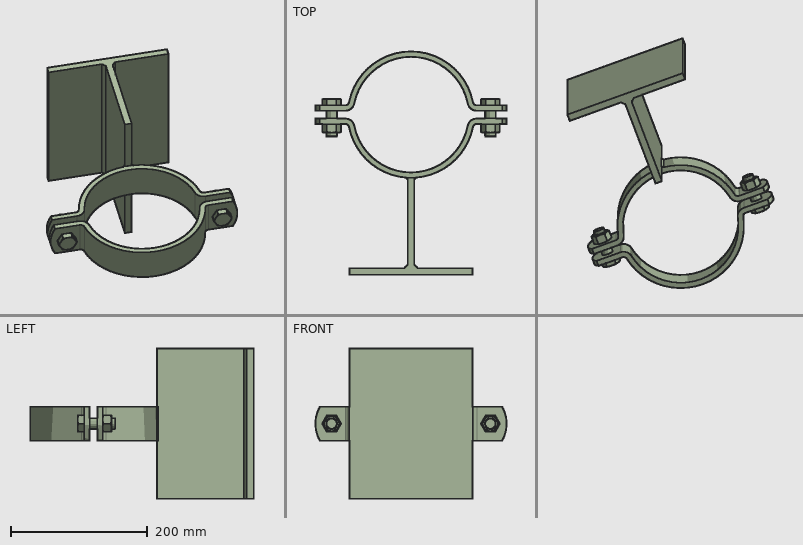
import cadquery as cq
import math

RING_OUTER_RADIUS = 92.5
BAND_THICKNESS = 8.2
BAND_WIDTH = 50.0
FLANGE_GAP = 11.0
FLANGE_REACH = 140.0
FLANGE_TIP_RADIUS = BAND_WIDTH
BEND_RADIUS = 5.5

STAND_HEIGHT = 220.0
OVERALL_DEPTH = 327
BASE_WIDTH = 180
BASE_THICKNESS = 10.0
WEB_THICKNESS = 10.0
BASE_WELD_LEG = 5.0
RING_WELD_LEG = 2.5

BOLT_SPACING = 232.2
BOLT_DIAMETER = 16.0
BOLT_END_DIAMETER = 15.0
BOLT_END_CHAMFER = 2.0
BOLT_OVERHANG = 5.2
HEX_ACROSS_FLATS = 24.0
HEAD_HEIGHT = 9.0
NUT_HEIGHT = 13
HEAD_FACE_DIAMETER = 25.0
NUT_OUTER_FACE_DIAMETER = 22.0
NUT_SEAT_DIAMETER = 25.0
HEX_CHAMFER_ANGLE = 30

HEX_ACROSS_CORNERS = HEX_ACROSS_FLATS / math.cos(math.radians(30))
RING_INNER_RADIUS = RING_OUTER_RADIUS - BAND_THICKNESS
RING_MID_RADIUS = RING_OUTER_RADIUS - BAND_THICKNESS / 2
FLANGE_INNER_Y = FLANGE_GAP / 2
FLANGE_OUTER_Y = FLANGE_INNER_Y + BAND_THICKNESS
BASE_Y = RING_OUTER_RADIUS - OVERALL_DEPTH


def extrude_centred(outline, height):
    """Extrude an XY outline along Z, equally to both sides of Z = 0."""
    return outline.extrude(height / 2, both=True)


def band_half():
    """Half of the band on the +Y side: half ring, two bends and two flanges."""
    bend_y = FLANGE_OUTER_Y + BEND_RADIUS
    centre_distance = RING_OUTER_RADIUS + BEND_RADIUS
    bend_x = math.sqrt(centre_distance**2 - bend_y**2)
    ring_angle = math.atan2(bend_y, bend_x)
    bend_mid_angle = (ring_angle + math.pi / 2) / 2

    def ring_end(radius, side):
        return (side * radius * math.cos(ring_angle), radius * math.sin(ring_angle))

    def bend_middle(radius, side):
        x = bend_x - radius * math.cos(bend_mid_angle)
        y = bend_y - radius * math.sin(bend_mid_angle)
        return (side * x, y)

    outer_bend_radius = BEND_RADIUS + BAND_THICKNESS
    outline = (
        cq.Workplane("XY")
        .moveTo(-FLANGE_REACH, FLANGE_OUTER_Y)
        .lineTo(-bend_x, FLANGE_OUTER_Y)
        .threePointArc(bend_middle(BEND_RADIUS, -1), ring_end(RING_OUTER_RADIUS, -1))
        .threePointArc((0, RING_OUTER_RADIUS), ring_end(RING_OUTER_RADIUS, 1))
        .threePointArc(bend_middle(BEND_RADIUS, 1), (bend_x, FLANGE_OUTER_Y))
        .lineTo(FLANGE_REACH, FLANGE_OUTER_Y)
        .lineTo(FLANGE_REACH, FLANGE_INNER_Y)
        .lineTo(bend_x, FLANGE_INNER_Y)
        .threePointArc(bend_middle(outer_bend_radius, 1), ring_end(RING_INNER_RADIUS, 1))
        .threePointArc((0, RING_INNER_RADIUS), ring_end(RING_INNER_RADIUS, -1))
        .threePointArc(bend_middle(outer_bend_radius, -1), (-bend_x, FLANGE_INNER_Y))
        .lineTo(-FLANGE_REACH, FLANGE_INNER_Y)
        .close()
    )
    return extrude_centred(outline, BAND_WIDTH).intersect(flange_tip_envelope())


def flange_tip_envelope():
    """Block along Y whose ends in X are the rounded flange tips."""
    half_width = BAND_WIDTH / 2
    tip_sagitta = FLANGE_TIP_RADIUS - math.sqrt(FLANGE_TIP_RADIUS**2 - half_width**2)
    corner_x = FLANGE_REACH - tip_sagitta
    return (
        cq.Workplane("XZ")
        .moveTo(-corner_x, -half_width)
        .lineTo(corner_x, -half_width)
        .threePointArc((FLANGE_REACH, 0), (corner_x, half_width))
        .lineTo(-corner_x, half_width)
        .threePointArc((-FLANGE_REACH, 0), (-corner_x, -half_width))
        .close()
        .extrude(RING_OUTER_RADIUS, both=True)
    )


def stand():
    """T section along Z: base plate, web and the two weld beads between them."""
    base_top = BASE_Y + BASE_THICKNESS
    half_base = BASE_WIDTH / 2
    half_web = WEB_THICKNESS / 2
    weld_foot = half_web + BASE_WELD_LEG
    outline = cq.Workplane("XY").polyline([
        (-half_base, BASE_Y),
        (half_base, BASE_Y),
        (half_base, base_top),
        (weld_foot, base_top),
        (half_web, base_top + BASE_WELD_LEG),
        (half_web, -RING_OUTER_RADIUS),
        (-half_web, -RING_OUTER_RADIUS),
        (-half_web, base_top + BASE_WELD_LEG),
        (-weld_foot, base_top),
        (-half_base, base_top),
    ]).close()
    return extrude_centred(outline, STAND_HEIGHT)


def ring_weld():
    """Weld beads joining the web to the ring, rooted inside the band."""
    half_web = WEB_THICKNESS / 2
    weld_x = half_web + RING_WELD_LEG
    weld_y = -math.sqrt(RING_OUTER_RADIUS**2 - weld_x**2)
    outline = cq.Workplane("XY").polyline([
        (-half_web, weld_y - RING_WELD_LEG),
        (half_web, weld_y - RING_WELD_LEG),
        (weld_x, weld_y),
        (weld_x, -RING_MID_RADIUS),
        (-weld_x, -RING_MID_RADIUS),
        (-weld_x, weld_y),
    ]).close()
    return extrude_centred(outline, BAND_WIDTH)


def hexagon(height):
    """Hexagonal prism from the XY plane upwards, with corners on the X axis."""
    return cq.Workplane("XY").polygon(6, HEX_ACROSS_CORNERS).extrude(height)


def round_blank(height, face_diameter, face):
    """Cylinder around the hexagon, tapered at one end down to a round face."""
    radial = (HEX_ACROSS_CORNERS - face_diameter) / 2
    axial = radial * math.tan(math.radians(HEX_CHAMFER_ANGLE))
    blank = cq.Workplane("XY").circle(HEX_ACROSS_CORNERS / 2).extrude(height)
    return blank.faces(face).chamfer(axial, radial)


def bolt_and_nut():
    """Bolt pointing along +Z with its nut; Z = 0 is midway between the flanges."""
    head = hexagon(HEAD_HEIGHT)
    head = head.intersect(round_blank(HEAD_HEIGHT, HEAD_FACE_DIAMETER, "<Z"))
    head = head.translate((0, 0, -FLANGE_OUTER_Y - HEAD_HEIGHT))
    nut = hexagon(NUT_HEIGHT)
    nut = nut.intersect(round_blank(NUT_HEIGHT, NUT_SEAT_DIAMETER, "<Z"))
    nut = nut.intersect(round_blank(NUT_HEIGHT, NUT_OUTER_FACE_DIAMETER, ">Z"))
    nut = nut.translate((0, 0, FLANGE_OUTER_Y))
    bolt_end = FLANGE_OUTER_Y + NUT_HEIGHT + BOLT_OVERHANG
    shank = (
        cq.Workplane("XZ")
        .polyline([
            (0, -FLANGE_OUTER_Y),
            (BOLT_DIAMETER / 2, -FLANGE_OUTER_Y),
            (BOLT_DIAMETER / 2, bolt_end - BOLT_END_CHAMFER),
            (BOLT_END_DIAMETER / 2, bolt_end),
            (0, bolt_end),
        ])
        .close()
        .revolve(360, (0, 0), (0, 1))
    )
    return head.union(shank).union(nut)


upper_band = band_half()
lower_band = upper_band.mirror("XZ")
result = upper_band.union(lower_band).union(stand()).union(ring_weld())

bolt = bolt_and_nut().rotate((0, 0, 0), (1, 0, 0), 90)
for side in (-1, 1):
    result = result.union(bolt.translate((side * BOLT_SPACING / 2, 0, 0)))